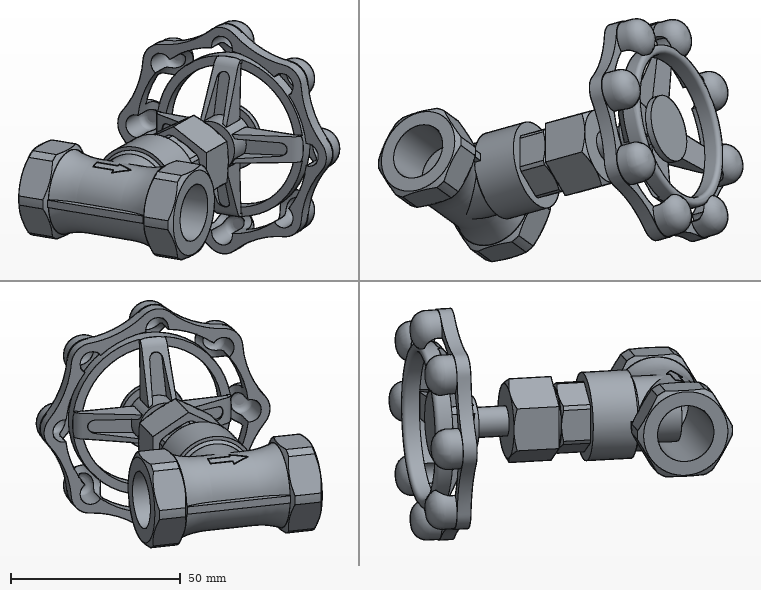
import cadquery as cq
import math

pipe_half_length = 26.0
end_hex_flats = 26.1
end_hex_round = 14.35
end_hex_length = 10.0
end_face_radius = 12.7
bore_radius = 8.5
waist_radius = 11.1
waist_half_length = 7.4
flare_end_radius = 12.6
upper_rib_reach = 13.6
lower_rib_reach = 13.1
rib_width = 2.3
arrow_height = 0.2

plug_radius = 8.9
plug_bottom = -2.65
outlet_wall = 10.05

collar_bottom = 11.5
collar_top = 25.0
collar_radius = 13.1
collar_bevel = 0.9
bonnet_top = 33.8
bonnet_flats = 19.0
bonnet_round = 10.6
spigot_radius = 8.9
gland_bottom = 34.9
gland_top = 48.5
gland_flats = 22.1
stem_radius = 4.5

wheel_top = 77.05
lobe_count = 8
lobe_pitch_radius = 28.8
lobe_radius = 6.2
valley_radius = 31.1
rim_inner_radius = 28.4
rim_bottom = 64.9
rim_top = 69.1
knob_diameter = 12.0
knob_round = 4.6
knob_hole_radius = 3.5
knob_hole_top = 74.9
knob_hole_round = 1.8
channel_spring = 70.6
channel_crown = 73.9
ring_outer_radius = 24.6
ring_inner_radius = 21.75
ring_mid_radius = (ring_inner_radius + ring_outer_radius) / 2
ring_bottom = 69.8
ring_top = 74.9
ring_round = 1.2
hub_bottom = 58.3
hub_radius = 7.8
hub_disc_diameter = 20.0
hub_disc_bottom = 68.9
hub_disc_top = 70.8

spoke_count = 4
spoke_start_width = 9.0
spoke_end_width = 7.9
spoke_start = 5.5
spoke_front_start = 58.9
spoke_back_start = 67.5
spoke_back_slope = 0.1
spoke_bend_radius = 22.4
spoke_bend = 67.2
spoke_bend_end = 70.65
spoke_tip = 71.3
slot_start_width = 6.4
slot_end_width = 4.2
slot_end = 20.9
slot_web = 2.2

CHAMFER_SLOPE = math.tan(math.radians(30))


def disc(radius, bottom, top):
    """Cylinder on the stem axis between two Y positions."""
    return cq.Workplane("ZX", origin=(0, bottom, 0)).circle(radius).extrude(top - bottom)


def turned(points):
    """Solid of revolution about the stem axis from (radius, Y) points."""
    return cq.Workplane("XY").polyline(points).close().revolve(360, (0, 0), (0, 1))


def hexagon(plane, flats, length):
    """Hexagonal prism starting at the origin, with corners on the local x axis."""
    return cq.Workplane(plane).polygon(6, flats / math.cos(math.pi / 6)).extrude(length)


def around_wheel(shape, count):
    """Fuse copies of a shape spaced evenly around the stem axis."""
    ring = shape
    for i in range(1, count):
        ring = ring.union(shape.rotate((0, 0, 0), (0, 1, 0), i * 360 / count))
    return ring


def end_hex():
    """End hexagon at -X with turned corners and 30 degree end chamfers."""
    inner = end_hex_length
    depth = (end_hex_round - end_face_radius) * CHAMFER_SLOPE
    turning = (
        cq.Workplane("XY")
        .polyline([
            (0, 0), (0, end_face_radius), (depth, end_hex_round),
            (inner - depth, end_hex_round), (inner, end_face_radius), (inner, 0),
        ])
        .close()
        .revolve(360, (0, 0), (1, 0))
    )
    prism = hexagon("YZ", end_hex_flats, inner).intersect(turning)
    return prism.translate((-pipe_half_length, 0, 0))


def waist():
    """Round middle of the pipe, flaring on tangent arcs toward the hexagons."""
    flare_end = pipe_half_length - end_hex_length
    rise = flare_end_radius - waist_radius
    run = flare_end - waist_half_length
    arc_radius = (run ** 2 + rise ** 2) / (2 * rise)
    half_angle = math.asin(run / arc_radius) / 2
    mid_x = waist_half_length + arc_radius * math.sin(half_angle)
    mid_r = waist_radius + arc_radius * (1 - math.cos(half_angle))
    return (
        cq.Workplane("XY")
        .moveTo(-flare_end, 0)
        .lineTo(-flare_end, flare_end_radius)
        .threePointArc((-mid_x, mid_r), (-waist_half_length, waist_radius))
        .lineTo(waist_half_length, waist_radius)
        .threePointArc((mid_x, mid_r), (flare_end, flare_end_radius))
        .lineTo(flare_end, 0)
        .close()
        .revolve(360, (0, 0), (1, 0))
    )


def flow_arrow():
    """Low raised arrow on the +Z side of the waist, pointing to +X."""
    axis_y = -2.6
    tail, neck, tip = -5.85, 1.1, 6.2
    shaft_half, head_half = 1.3, 2.5
    outline = (
        cq.Workplane("XY")
        .polyline([
            (tail, axis_y - shaft_half), (neck, axis_y - shaft_half), (neck, axis_y - head_half),
            (tip, axis_y),
            (neck, axis_y + head_half), (neck, axis_y + shaft_half), (tail, axis_y + shaft_half),
        ])
        .close()
        .extrude(2 * waist_radius)
    )
    skin = (
        cq.Workplane("YZ", origin=(-waist_half_length, 0, 0))
        .circle(waist_radius + arrow_height)
        .extrude(2 * waist_half_length)
    )
    return outline.intersect(skin)


def bore(start, end):
    """Bore cylinder on the pipe axis between two X positions."""
    return cq.Workplane("YZ", origin=(start, 0, 0)).circle(bore_radius).extrude(end - start)


def inlet_cavity():
    """Bore from -X, ending on the convex plug and on a concave wall below it."""
    seat = bore(0, pipe_half_length).intersect(disc(plug_radius, -bore_radius, plug_bottom))
    plug = disc(plug_radius, plug_bottom, collar_bottom)
    return bore(-pipe_half_length, 0).union(seat).cut(plug)


def pipe_body():
    inlet_hex = end_hex()
    rib_length = 2 * (pipe_half_length - end_hex_length)
    ribs = (
        cq.Workplane("XY")
        .box(rib_length, upper_rib_reach + lower_rib_reach, rib_width)
        .translate((0, (upper_rib_reach - lower_rib_reach) / 2, 0))
    )
    neck = disc(waist_radius, 0, collar_bottom)
    body = waist().union(neck).union(ribs)
    body = body.union(inlet_hex).union(inlet_hex.mirror("YZ"))
    outlet = bore(outlet_wall, pipe_half_length)
    return body.union(flow_arrow()).cut(inlet_cavity()).cut(outlet)


def chamfered_hex(flats, corner_radius, bottom, top):
    """Hexagon on the stem axis with a 30 degree chamfer around its top."""
    top_radius = flats / 2
    depth = (corner_radius - top_radius) * CHAMFER_SLOPE
    turning = turned([
        (0, bottom), (corner_radius, bottom), (corner_radius, top - depth),
        (top_radius, top), (0, top),
    ])
    return hexagon("ZX", flats, top - bottom).translate((0, bottom, 0)).intersect(turning)


def stem_stack():
    collar = disc(collar_radius, collar_bottom, collar_top)
    bevel = turned([
        (0, collar_bottom - collar_bevel), (waist_radius, collar_bottom - collar_bevel),
        (waist_radius + collar_bevel, collar_bottom), (0, collar_bottom),
    ])
    bonnet = chamfered_hex(bonnet_flats, bonnet_round, collar_top, bonnet_top)
    spigot = disc(spigot_radius, bonnet_top, gland_bottom)
    gland_corner = gland_flats / 2 / math.cos(math.pi / 6)
    gland = chamfered_hex(gland_flats, gland_corner, gland_bottom, gland_top)
    stem = disc(stem_radius, gland_top, hub_bottom)
    return collar.union(bevel).union(bonnet).union(spigot).union(gland).union(stem)


def polar(radius, angle):
    return (radius * math.cos(angle), radius * math.sin(angle))


def lobed_plate():
    """Plate with the wavy rim outline: convex lobes joined by tangent concave arcs."""
    half_pitch = math.pi / lobe_count
    gap = valley_radius - lobe_radius
    centre = (lobe_pitch_radius ** 2 - gap ** 2) / (2 * (lobe_pitch_radius * math.cos(half_pitch) - gap))
    span = centre - gap
    lobe_share = lobe_radius / span
    valley_x, valley_y = polar(centre, half_pitch)
    join_x = lobe_pitch_radius + lobe_share * (valley_x - lobe_pitch_radius)
    join_y = lobe_share * valley_y
    join_radius = math.hypot(join_x, join_y)
    join_angle = math.atan2(join_y, join_x)

    outline = cq.Workplane("ZX", origin=(0, rim_bottom, 0)).moveTo(*polar(join_radius, -join_angle))
    for i in range(lobe_count):
        lobe = 2 * half_pitch * i
        outline = outline.threePointArc(
            polar(lobe_pitch_radius + lobe_radius, lobe), polar(join_radius, lobe + join_angle)
        )
        next_lobe = lobe + 2 * half_pitch
        outline = outline.threePointArc(
            polar(valley_radius, lobe + half_pitch), polar(join_radius, next_lobe - join_angle)
        )
    return outline.close().extrude(rim_top - rim_bottom)


def knob():
    """Domed knob on the +Z lobe."""
    return (
        cq.Workplane("ZX", origin=(0, rim_bottom, 0))
        .center(lobe_pitch_radius, 0)
        .circle(knob_diameter / 2)
        .extrude(wheel_top - rim_bottom)
        .faces(">Y")
        .edges()
        .fillet(knob_round)
    )


def knob_hole():
    """Round-ended blind hole up into the +Z knob."""
    return (
        cq.Workplane("ZX", origin=(0, rim_bottom, 0))
        .center(lobe_pitch_radius, 0)
        .circle(knob_hole_radius)
        .extrude(knob_hole_top - rim_bottom)
        .faces(">Y")
        .edges()
        .fillet(knob_hole_round)
    )


def rim_opening():
    """Opening inside the rim, arching up under the knobs to the inner ring."""
    ring_mid = (ring_bottom + ring_top) / 2
    arch_width = rim_inner_radius - ring_outer_radius
    arch_rise = channel_crown - channel_spring
    arch_mid = (
        ring_outer_radius + arch_width * math.sqrt(0.5),
        channel_spring + arch_rise * math.sqrt(0.5),
    )
    return (
        cq.Workplane("XY")
        .moveTo(0, rim_bottom)
        .lineTo(rim_inner_radius, rim_bottom)
        .lineTo(rim_inner_radius, channel_spring)
        .threePointArc(arch_mid, (ring_outer_radius, channel_crown))
        .lineTo(ring_mid_radius, channel_crown)
        .lineTo(ring_mid_radius, ring_mid)
        .lineTo(0, ring_mid)
        .close()
        .revolve(360, (0, 0), (0, 1))
    )


def tapered_plan(start, end, start_width, end_width):
    """Prism toward +Z, as deep as a spoke, whose width changes evenly between two radii."""
    return (
        cq.Workplane("ZX", origin=(0, hub_bottom, 0))
        .polyline([
            (start, -start_width / 2), (end, -end_width / 2),
            (end, end_width / 2), (start, start_width / 2),
        ])
        .close()
        .extrude(spoke_tip - hub_bottom)
    )


def spoke_slot():
    """Round-ended slot, open at the hub, with a floor parallel to the back of the spoke."""
    floor_start = spoke_back_start - slot_web
    floor_end = floor_start + spoke_back_slope * (slot_end - spoke_start)
    end_radius = slot_end_width / 2
    end_centre = slot_end - end_radius
    round_end = (
        cq.Workplane("ZX", origin=(0, hub_bottom, 0))
        .center(end_centre, 0)
        .circle(end_radius)
        .extrude(spoke_tip - hub_bottom)
    )
    plan = tapered_plan(spoke_start, end_centre, slot_start_width, slot_end_width).union(round_end)
    side = (
        cq.Workplane("YZ", origin=(-spoke_start_width / 2, 0, 0))
        .polyline([
            (hub_bottom, spoke_start), (floor_start, spoke_start),
            (floor_end, slot_end), (hub_bottom, slot_end),
        ])
        .close()
        .extrude(spoke_start_width)
    )
    return plan.intersect(side)


def spoke():
    """Tapered, slotted spoke toward +Z whose front curves up into the inner ring."""
    back_end = spoke_back_start + spoke_back_slope * (ring_mid_radius - spoke_start)
    side = (
        cq.Workplane("YZ", origin=(-spoke_start_width / 2, 0, 0))
        .moveTo(spoke_front_start, spoke_start)
        .lineTo(spoke_bend, spoke_bend_radius)
        .tangentArcPoint((spoke_bend_end, ring_outer_radius), relative=False)
        .lineTo(spoke_tip, ring_outer_radius)
        .lineTo(spoke_tip, ring_mid_radius)
        .lineTo(back_end, ring_mid_radius)
        .lineTo(spoke_back_start, spoke_start)
        .close()
        .extrude(spoke_start_width)
    )
    plan = tapered_plan(spoke_start, ring_outer_radius, spoke_start_width, spoke_end_width)
    return side.intersect(plan).cut(spoke_slot())


def wheel_centre():
    """Hub, spokes and inner ring, turned to a common outer radius."""
    hub = disc(hub_radius, hub_bottom, hub_disc_top)
    hub = hub.union(disc(hub_disc_diameter / 2, hub_disc_bottom, hub_disc_top))
    ring_hole = disc(ring_inner_radius, ring_bottom, ring_top)
    ring = disc(lobe_pitch_radius, ring_bottom, ring_top).cut(ring_hole)
    ring = ring.edges(cq.selectors.RadiusNthSelector(0)).edges(">Y").fillet(ring_round)
    envelope = disc(ring_outer_radius, hub_bottom, ring_top).faces(">Y").edges().fillet(ring_round)
    spokes = around_wheel(spoke(), spoke_count)
    return spokes.union(hub).union(ring).intersect(envelope)


def handwheel():
    wheel = lobed_plate().union(around_wheel(knob(), lobe_count))
    wheel = wheel.cut(rim_opening()).union(wheel_centre())
    return wheel.cut(around_wheel(knob_hole(), lobe_count))


result = pipe_body().union(stem_stack()).union(handwheel())